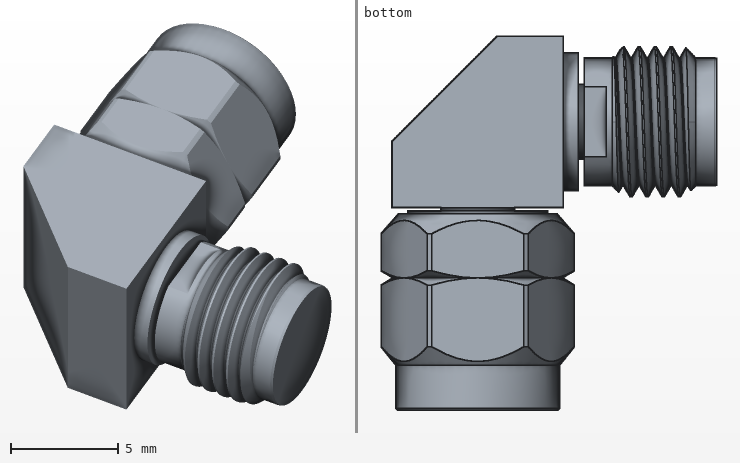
import cadquery as cq
import math


overall_length_y = 17.46

block_side = 8.0
block_half = block_side / 2
corner_cut = 4.9

plug_neck_dia = 3.44
washer_dia = 6.51
washer_y = 4.15
nut_base_y = 4.28
sleeve_end_y = overall_length_y - block_half
nut_flats = 7.93
nut_corner_dia = 9.01
nut_base_dia = 7.37
nut_groove_y = 7.28
nut_groove_half_width = 0.33
nut_rear_corner_y = 5.22
nut_front_corner_y = 10.5
sleeve_dia = 7.65
sleeve_start_y = 11.35
sleeve_chamfer = 0.1

flange_dia = 6.45
flange_end_x = 4.7
jack_neck_dia = 3.51
barrel_dia = 5.97
barrel_start_x = 4.95
jack_end_x = 11.15
jack_chamfer = 0.03
jack_chamfer_length = 0.12
wrench_flats = 5.0
wrench_flats_end_x = 5.99

thread_dia = 7.0
thread_pitch = 0.75
thread_start_x = 6.25
thread_end_x = 10.2
thread_phase_x = 6.22
thread_crest_width = 0.09
thread_half_angle = 30
thread_root_overlap = 0.03
envelope_clearance = 0.05


def turned(profile):
    """Revolve a list of (radius, height) points about Z, closing it on the axis."""
    points = [(0, profile[0][1])] + profile + [(0, profile[-1][1])]
    return cq.Workplane("XZ").polyline(points).close().revolve(360, (0, 0), (0, 1))


def along_x(shape):
    return shape.rotate((0, 0, 0), (0, 1, 0), 90)


def along_y(shape):
    return shape.rotate((0, 0, 0), (1, 0, 0), -90)


def make_block():
    block = cq.Workplane("XY").box(block_side, block_side, block_side)
    return block.edges("|Z and <X and <Y").chamfer(corner_cut)


def make_plug():
    """Neck, washer, hexagon nut and sleeve, built upward along Z."""
    neck_radius = plug_neck_dia / 2
    washer_radius = washer_dia / 2
    plug = turned([
        (neck_radius, block_half),
        (neck_radius, washer_y),
        (washer_radius, washer_y),
        (washer_radius, nut_base_y),
    ])

    corner_radius = nut_corner_dia / 2
    sleeve_radius = sleeve_dia / 2
    nut_turning = turned([
        (nut_base_dia / 2, nut_base_y),
        (corner_radius, nut_rear_corner_y),
        (corner_radius, nut_groove_y - nut_groove_half_width),
        (nut_flats / 2, nut_groove_y),
        (corner_radius, nut_groove_y + nut_groove_half_width),
        (corner_radius, nut_front_corner_y),
        (sleeve_radius, sleeve_start_y),
        (sleeve_radius, sleeve_end_y - sleeve_chamfer),
        (sleeve_radius - sleeve_chamfer, sleeve_end_y),
    ])
    hexagon = (
        cq.Workplane("XY")
        .workplane(offset=nut_base_y)
        .polygon(6, nut_flats / math.cos(math.pi / 6))
        .extrude(sleeve_end_y - nut_base_y)
    )
    return along_y(plug.union(nut_turning.intersect(hexagon)))


def make_jack():
    """Flange, neck and barrel with two wrench flats."""
    flange_radius = flange_dia / 2
    neck_radius = jack_neck_dia / 2
    barrel_radius = barrel_dia / 2
    jack = along_x(turned([
        (flange_radius, block_half),
        (flange_radius, flange_end_x),
        (neck_radius, flange_end_x),
        (neck_radius, barrel_start_x),
        (barrel_radius, barrel_start_x),
        (barrel_radius, jack_end_x - jack_chamfer_length),
        (barrel_radius - jack_chamfer, jack_end_x),
    ]))
    flat_length = wrench_flats_end_x - barrel_start_x
    for side in (1, -1):
        cutter = cq.Workplane("XY").box(flat_length, barrel_dia, barrel_dia).translate((
            barrel_start_x + flat_length / 2,
            0,
            side * (wrench_flats + barrel_dia) / 2,
        ))
        jack = jack.cut(cutter)
    return jack


def make_thread():
    """Right-handed helical ridge, with both ends turned down at 45 degrees."""
    root_radius = barrel_dia / 2 - thread_root_overlap
    crest_radius = thread_dia / 2
    first_crest = thread_phase_x - thread_pitch
    turns = math.ceil((thread_end_x - first_crest) / thread_pitch) + 1
    half_crest = thread_crest_width / 2
    thread_depth = crest_radius - root_radius
    half_root = half_crest + thread_depth * math.tan(math.radians(thread_half_angle))

    length = turns * thread_pitch
    section = [
        (root_radius, first_crest - half_root),
        (crest_radius, first_crest - half_crest),
        (crest_radius, first_crest + half_crest),
        (root_radius, first_crest + half_root),
    ]
    helices = [
        cq.Wire.makeHelix(thread_pitch, length, radius).translate(cq.Vector(0, 0, height))
        for radius, height in section
    ]
    sides = [cq.Face.makeRuledSurface(helices[i - 1], helices[i]) for i in range(len(helices))]
    caps = []
    for rise in (0, length):
        corners = [cq.Vector(radius, 0, height + rise) for radius, height in section]
        caps.append(cq.Face.makeFromWires(cq.Wire.makePolygon(corners, close=True)))
    ridge = cq.Workplane(obj=cq.Solid.makeSolid(cq.Shell.makeShell(sides + caps)))

    envelope_radius = crest_radius + envelope_clearance
    end_taper = envelope_radius - root_radius
    envelope = turned([
        (root_radius, thread_start_x),
        (envelope_radius, thread_start_x + end_taper),
        (envelope_radius, thread_end_x - end_taper),
        (root_radius, thread_end_x),
    ])
    return along_x(ridge.intersect(envelope))


result = make_block().union(make_plug()).union(make_jack()).union(make_thread())